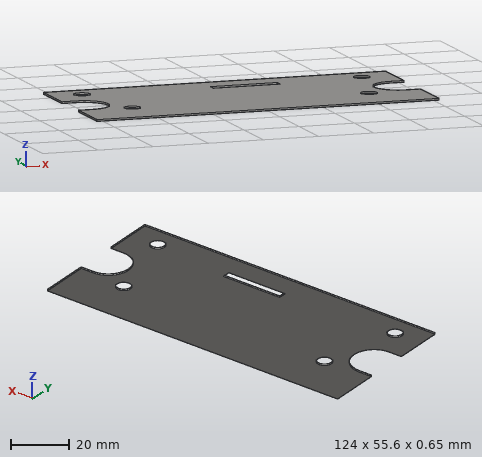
import cadquery as cq

length = 124.0
width = 55.6
thickness = 0.65

notch_width = 17.1
notch_depth = 13.8

hole_diameter = 5.7
upper_hole_x = 50.7
upper_hole_y = 20.1
lower_hole_x = 42.9
lower_hole_y = -9.8

slot_length = 24.0
slot_width = 3.1
slot_x = 7.7
slot_y = 17.7


def edge_notch(side):
    """Cutter for the notch in the short edge at side = -1 or +1."""
    return (
        cq.Workplane("XY")
        .center(side * length / 2, 0)
        .slot2D(2 * notch_depth, notch_width)
        .extrude(thickness)
    )


plate = cq.Workplane("XY").rect(length, width).extrude(thickness)

for side in (-1, 1):
    plate = plate.cut(edge_notch(side))

hole_centers = [
    (side * x, y)
    for side in (-1, 1)
    for x, y in ((upper_hole_x, upper_hole_y), (lower_hole_x, lower_hole_y))
]
holes = cq.Workplane("XY").pushPoints(hole_centers).circle(hole_diameter / 2).extrude(thickness)
slot = cq.Workplane("XY").center(slot_x, slot_y).rect(slot_length, slot_width).extrude(thickness)

result = plate.cut(holes).cut(slot)